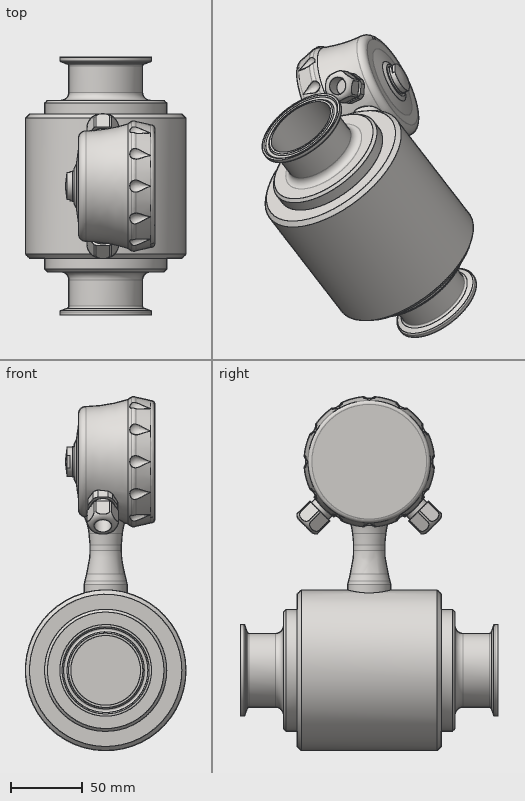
import cadquery as cq
import math

overall_length = 179.5
overall_height = 246.7
body_diameter = 112.0
body_length = 100.6
body_chamfer = 3.0
collar_diameter = 85.0
collar_length = 119.6
collar_chamfer = 2.0
pipe_diameter = 51.5
pipe_fillet = 5.5
bore_diameter = 48.5
bore_depth = (overall_length - body_length) / 2

ferrule_diameter = 64.0
ferrule_rim = 2.2
ferrule_round = 1.0
ferrule_taper = 1.5
ferrule_fillet = 1.5
groove_diameter = 56.2
groove_width = 4.5
groove_floor_width = 2.5
groove_shoulder = 0.7
groove_depth = 1.5

stem_foot_radius = 15.0
stem_foot_top = 60.0
stem_bead_radius = 14.5
stem_bead_top = 62.2
stem_taper_radius = 13.3
stem_taper_bottom = 67.0
stem_waist_diameter = 22.0
stem_waist_bottom = 83.5
stem_waist_top = 87.3
stem_throat_diameter = 23.5
stem_throat_top = 95.5
stem_flare_radius = 15.8
stem_flare_top = 108.5

head_height = 145.3
face_x = -19.0
face_radius = 33.0
shoulder_x = -13.8
shoulder_radius = 38.5
cover_x = 15.5
cover_edge_radius = 43.5
flank_middle = (1.5, 40.0)
dome_outer_radius = 25.7
dome_step_radius = 15.3
dome_step_x = -20.5
dome_top_radius = 12.3
dome_top_x = -22.0

crown_start_x = 18.0
crown_start_radius = 45.1
crown_x = 19.5
crown_end_x = 21.2
crown_end_radius = 45.1
rim_start_x = 31.3
rim_start_radius = 42.7
rim_x = 34.3
rim_radius = 40.0
grip_count = 12
grip_half_width = 4.0
grip_nose = 3.5
grip_lift = 1.2
top_reach = overall_height - body_diameter / 2 - head_height
crown_radius = math.hypot(top_reach, grip_half_width)
grip_radius = math.hypot(grip_half_width, grip_lift)

plug_radius = 10.4
plug_base_radius = 10.5
plug_base_x = -23.2
plug_shoulder_x = -27.0
plug_tip_x = -28.0
plug_flats = 18.7
plug_flats_end_x = -25.0

gland_x = -2.0
gland_angles = (-135, 135)
gland_base_start = 34.5
gland_base_end = 44.6
gland_flats = 19.7
gland_base_diameter = 21.0
gland_neck_diameter = 16.8
gland_nut_start = 48.5
gland_nut_end = 63.2
gland_nut_diameter = 22.0
gland_nose_diameter = 12.5
gland_hole_diameter = 12.0
gland_hole_depth = 13.5


def make_flow_body():
    """Meter body with a connection at each end."""
    body = (
        cq.Workplane("XZ", origin=(0, body_length / 2, 0))
        .circle(body_diameter / 2)
        .extrude(body_length)
        .edges("%CIRCLE")
        .chamfer(body_chamfer)
    )
    connection = make_connection()
    return body.union(connection).union(connection.mirror("XZ"))


def make_connection():
    """Collar, pipe and clamp ferrule on the +Y end of the meter body."""
    end_y = overall_length / 2
    rim_y = end_y - ferrule_rim
    taper_y = rim_y - ferrule_round - ferrule_taper
    collar_y = collar_length / 2
    body_y = body_length / 2
    pipe_radius = pipe_diameter / 2
    collar_radius = collar_diameter / 2
    ferrule_radius = ferrule_diameter / 2
    connection = (
        cq.Workplane("XY")
        .moveTo(0, body_y)
        .lineTo(collar_radius, body_y)
        .lineTo(collar_radius, collar_y - collar_chamfer)
        .lineTo(collar_radius - collar_chamfer, collar_y)
        .lineTo(pipe_radius + pipe_fillet, collar_y)
        .radiusArc((pipe_radius, collar_y + pipe_fillet), pipe_fillet)
        .lineTo(pipe_radius, taper_y - ferrule_fillet)
        .radiusArc((pipe_radius + ferrule_fillet, taper_y), ferrule_fillet)
        .lineTo(ferrule_radius - ferrule_round, rim_y - ferrule_round)
        .radiusArc((ferrule_radius, rim_y), -ferrule_round)
        .lineTo(ferrule_radius, end_y)
        .lineTo(0, end_y)
        .close()
        .revolve(360, (0, 0, 0), (0, 1, 0))
    )
    bore = cq.Workplane("XZ", origin=(0, end_y, 0)).circle(bore_diameter / 2).extrude(bore_depth)
    return connection.cut(make_seal_groove(end_y)).cut(bore)


def make_seal_groove(end_y):
    """Ring groove with sloping sides and a rounded floor, open at end_y."""
    middle = groove_diameter / 2
    half_width = groove_width / 2
    half_floor = groove_floor_width / 2
    return (
        cq.Workplane("XY")
        .moveTo(middle - half_width, end_y)
        .lineTo(middle - half_floor, end_y - groove_shoulder)
        .threePointArc((middle, end_y - groove_depth), (middle + half_floor, end_y - groove_shoulder))
        .lineTo(middle + half_width, end_y)
        .close()
        .revolve(360, (0, 0, 0), (0, 1, 0))
    )


def make_stem():
    """Waisted stem from inside the meter body up into the head."""
    stem_bottom = body_diameter / 2 - stem_foot_radius / 2
    waist_radius = stem_waist_diameter / 2
    throat_radius = stem_throat_diameter / 2
    return (
        cq.Workplane("XZ")
        .moveTo(0, stem_bottom)
        .lineTo(stem_foot_radius, stem_bottom)
        .lineTo(stem_foot_radius, stem_foot_top)
        .lineTo(stem_bead_radius, stem_bead_top)
        .lineTo(stem_taper_radius, stem_taper_bottom)
        .spline(
            [(waist_radius, stem_waist_bottom)],
            tangents=[(stem_taper_radius - stem_bead_radius, stem_taper_bottom - stem_bead_top), (0, 1)],
            includeCurrent=True,
        )
        .lineTo(waist_radius, stem_waist_top)
        .lineTo(throat_radius, stem_throat_top)
        .tangentArcPoint((stem_flare_radius, stem_flare_top), relative=False)
        .lineTo(stem_flare_radius, head_height - face_radius / 2)
        .lineTo(0, head_height - face_radius / 2)
        .close()
        .revolve(360, (0, 0, 0), (0, 1, 0))
    )


def make_head():
    """Bell-shaped housing and its screw cover, turned about the head axis."""
    edge_blend = math.sqrt(0.5)
    face_corner = (
        shoulder_x + (face_x - shoulder_x) * edge_blend,
        face_radius + (shoulder_radius - face_radius) * edge_blend,
    )
    rim_corner = (
        rim_start_x + (rim_x - rim_start_x) * edge_blend,
        rim_radius + (rim_start_radius - rim_radius) * edge_blend,
    )
    return (
        cq.Workplane("XZ", origin=(0, 0, head_height))
        .moveTo(dome_top_x, 0)
        .lineTo(dome_top_x, dome_top_radius)
        .lineTo(dome_step_x, dome_step_radius)
        .lineTo(face_x, dome_outer_radius)
        .lineTo(face_x, face_radius)
        .threePointArc(face_corner, (shoulder_x, shoulder_radius))
        .threePointArc(flank_middle, (cover_x, cover_edge_radius))
        .lineTo(crown_start_x, crown_start_radius)
        .threePointArc((crown_x, crown_radius), (crown_end_x, crown_end_radius))
        .lineTo(rim_start_x, rim_start_radius)
        .threePointArc(rim_corner, (rim_x, rim_radius))
        .lineTo(rim_x, 0)
        .close()
        .revolve(360, (0, 0, 0), (1, 0, 0))
    )


def make_grip_notches():
    """Teardrop cutters around the cover: round at one end and pointed toward the rim."""
    center = cq.Vector(crown_x, 0, crown_radius + grip_lift)
    tip = cq.Vector(rim_start_x, 0, rim_start_radius)
    axis = tip - center
    plane = cq.Plane(origin=center.toTuple(), xDir=axis.toTuple(), normal=(0, -1, 0))
    teardrop = (
        cq.Workplane(plane)
        .moveTo(-grip_nose, 0)
        .spline(
            [(0, grip_radius), (axis.Length, 0)],
            tangents=[(0, 1), (axis.Length, -grip_radius)],
            includeCurrent=True,
        )
        .close()
        .revolve(360, (0, 0, 0), (1, 0, 0))
    )
    notches = []
    for index in range(grip_count):
        angle = index * 360 / grip_count
        notches.append(teardrop.rotate((0, 0, 0), (1, 0, 0), angle).translate((0, 0, head_height)))
    return notches


def make_plug():
    """Round plug with a shallow conical front and two wrench flats."""
    plug = (
        cq.Workplane("XZ", origin=(0, 0, head_height))
        .moveTo(face_x, 0)
        .lineTo(face_x, plug_base_radius)
        .lineTo(plug_base_x, plug_base_radius)
        .lineTo(plug_base_x, plug_radius)
        .lineTo(plug_shoulder_x, plug_radius)
        .lineTo(plug_tip_x, 0)
        .close()
        .revolve(360, (0, 0, 0), (1, 0, 0))
    )
    flats_length = plug_flats_end_x - plug_tip_x
    for side in (-1, 1):
        cutter = (
            cq.Workplane("XY")
            .box(flats_length, plug_radius, 2 * plug_radius)
            .translate((plug_tip_x + flats_length / 2, side * (plug_flats + plug_radius) / 2, head_height))
        )
        plug = plug.cut(cutter)
    return plug


def make_hexagon(start, end, flats):
    """Hexagonal prism along Z with one corner pointing along X."""
    corner_diameter = flats / math.cos(math.pi / 6)
    return cq.Workplane("XY").workplane(offset=start).polygon(6, corner_diameter).extrude(end - start)


def make_rod(start, end, diameter):
    """Round rod along Z."""
    return cq.Workplane("XY").workplane(offset=start).circle(diameter / 2).extrude(end - start)


def make_gland():
    """Cable gland along Z: hexagonal base, round neck and a nut with a rounded nose."""
    base = make_hexagon(gland_base_start, gland_base_end, gland_flats)
    base = base.intersect(make_rod(gland_base_start, gland_base_end, gland_base_diameter))
    neck = make_rod(gland_base_end, gland_nut_start, gland_neck_diameter)
    nut = make_hexagon(gland_nut_start, gland_nut_end, gland_flats)
    nose_fillet = (gland_nut_diameter - gland_nose_diameter) / 2
    envelope = make_rod(gland_nut_start, gland_nut_end, gland_nut_diameter)
    nut = nut.intersect(envelope.faces(">Z").fillet(nose_fillet))
    hole = make_rod(gland_nut_end - gland_hole_depth, gland_nut_end, gland_hole_diameter)
    return base.union(neck).union(nut).cut(hole)


head = make_head()
for notch in make_grip_notches():
    head = head.cut(notch)

result = make_flow_body().union(make_stem()).union(head).union(make_plug())
for gland_angle in gland_angles:
    placed = make_gland().rotate((0, 0, 0), (1, 0, 0), gland_angle).translate((gland_x, 0, head_height))
    result = result.union(placed)